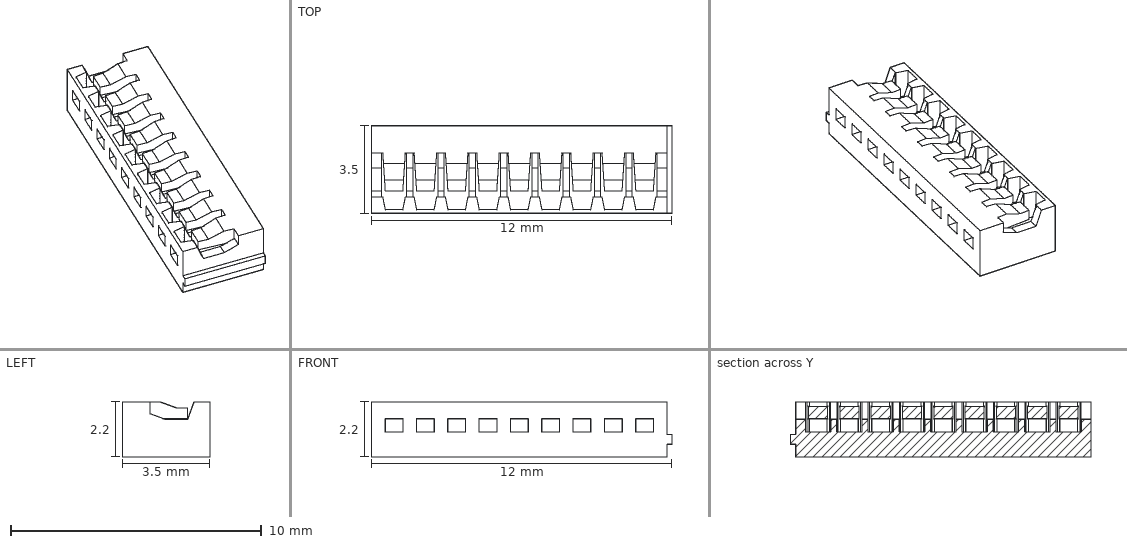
import cadquery as cq
import math

body_length = 11.8
body_depth = 3.5
body_height = 2.2

key_width = 0.2
key_bottom = 0.5
key_height = 0.4

contact_count = 9
pitch = 1.25
first_contact_x = (body_length - (contact_count - 1) * pitch) / 2

passage_width = 0.7
passage_bottom = 1.0
passage_top = 1.52

ramp_angle = 20
ramp_slope = math.tan(math.radians(ramp_angle))

trough_back_y = 2.41
trough_front_y = 0.65
trough_floor_back_y = 1.8
trough_floor_z = 1.51
trough_back_z = trough_floor_z + (trough_back_y - trough_floor_back_y) * ramp_slope

cavity_width = 1.0
cavity_mouth_width = 0.9
front_wall = 0.15

tongue_front_y = 0.9
tongue_root_width = 0.9
tongue_tip_width = 0.7
tongue_slope_front_y = 1.33
tongue_tip_z = 1.96
tongue_slope_back_y = tongue_slope_front_y + (body_height - tongue_tip_z) / ramp_slope


def make_body():
    block = cq.Workplane("XY").box(body_length, body_depth, body_height, centered=False)
    key = (
        cq.Workplane("XY")
        .box(key_width, body_depth, key_height, centered=False)
        .translate((body_length, 0, key_bottom))
    )
    return block.union(key)


def make_trough():
    profile = [
        (trough_front_y, body_height),
        (tongue_front_y, trough_floor_z),
        (trough_floor_back_y, trough_floor_z),
        (trough_back_y, trough_back_z),
        (trough_back_y, body_height),
    ]
    return cq.Workplane("YZ").polyline(profile).close().extrude(body_length)


def make_cavity(center_x):
    half_width = cavity_width / 2
    half_mouth = cavity_mouth_width / 2
    half_front = passage_width / 2
    outline = [
        (-half_front, front_wall),
        (half_front, front_wall),
        (half_mouth, trough_front_y),
        (half_width, trough_front_y),
        (half_width, trough_back_y),
        (-half_width, trough_back_y),
        (-half_width, trough_front_y),
        (-half_mouth, trough_front_y),
    ]
    return (
        cq.Workplane("XY", origin=(center_x, 0, passage_bottom))
        .polyline(outline)
        .close()
        .extrude(body_height - passage_bottom)
    )


def make_passage(center_x):
    return (
        cq.Workplane("XY")
        .box(passage_width, body_depth, passage_top - passage_bottom, centered=(True, False, False))
        .translate((center_x, 0, passage_bottom))
    )


def make_tongue(center_x):
    half_root = tongue_root_width / 2
    half_tip = tongue_tip_width / 2
    side_profile = [
        (tongue_front_y, passage_top),
        (tongue_front_y, tongue_tip_z),
        (tongue_slope_front_y, tongue_tip_z),
        (tongue_slope_back_y, body_height),
        (trough_back_y, body_height),
        (trough_back_y, passage_top),
    ]
    plan_outline = [
        (-half_tip, tongue_front_y),
        (half_tip, tongue_front_y),
        (half_root, trough_back_y),
        (-half_root, trough_back_y),
    ]
    side = (
        cq.Workplane("YZ", origin=(center_x, 0, 0))
        .polyline(side_profile)
        .close()
        .extrude(cavity_width / 2, both=True)
    )
    plan = cq.Workplane("XY", origin=(center_x, 0, 0)).polyline(plan_outline).close().extrude(body_height)
    return side.intersect(plan)


contact_centers = [first_contact_x + index * pitch for index in range(contact_count)]

result = make_body().cut(make_trough())
for contact_x in contact_centers:
    result = result.cut(make_cavity(contact_x))
    result = result.cut(make_passage(contact_x))
    result = result.union(make_tongue(contact_x))